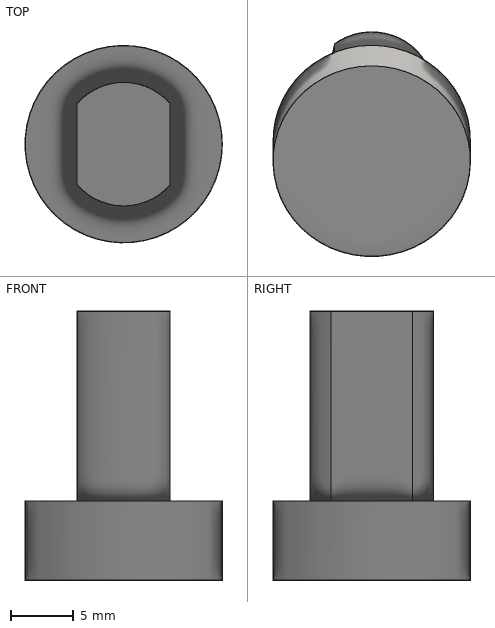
import cadquery as cq

head_diameter = 15.85
overall_height = 21.62
head_height = 6.38
stem_diameter = 9.92
stem_width_across_flats = 7.47

stem_height = overall_height - head_height


def make_head():
    """Round head standing on the XY plane."""
    return cq.Workplane("XY").circle(head_diameter / 2).extrude(head_height)


def make_stem():
    """Round stem with two parallel flats facing -X and +X."""
    head_top = cq.Workplane("XY").workplane(offset=head_height)
    round_stem = head_top.circle(stem_diameter / 2).extrude(stem_height)
    flat_limits = head_top.rect(stem_width_across_flats, stem_diameter).extrude(stem_height)
    return round_stem.intersect(flat_limits)


result = make_head().union(make_stem())